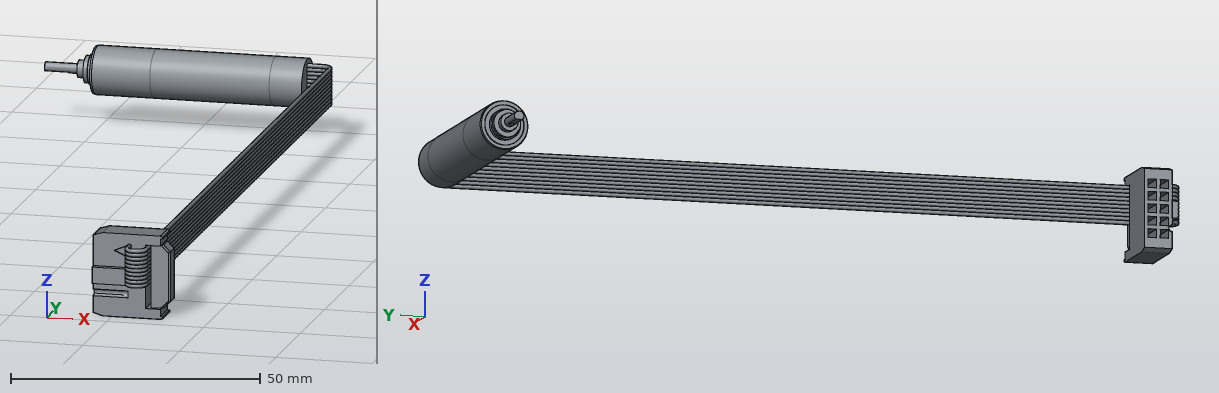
import cadquery as cq
import math


MOTOR_DIA = 10.0
GEARBOX_FRONT = 10.3
GEARBOX_REAR = 22.8
BODY_REAR = 47.5
MOTOR_REAR = 54.2
EDGE_BEVEL_LENGTH = 0.45
EDGE_BEVEL_DEPTH = 0.15
FACE_RECESS_DIA = 8.2
FACE_RECESS_DEPTH = 0.3
SHAFT_DIA = 2.0
SHAFT_FLAT_LENGTH = 5.0
SHAFT_FLAT_DEPTH = 0.3
NOSE_FRONT = 6.9
NOSE_DIA = 3.6
COLLAR_FRONT = 8.4
COLLAR_DIA = 5.6
PILOT_FRONT = 9.35
PILOT_DIA = 6.2

CONTACT_PITCH = 2.54
CONTACT_ROWS = 5
CONTACT_COLUMNS = 2
CONN_FRONT = 47.9
CONN_REAR = 61.8
CONN_HEIGHT = 17.27
CONN_DEPTH = 5.8
CONN_FACE_Y = -150.9
CONN_Y = CONN_FACE_Y + CONN_DEPTH / 2
CONN_Z = -CONTACT_PITCH
TAPER_LENGTH = 2.0
TAPER_DROP = 0.6
LIP_LENGTH = 0.5
LIP_THICKNESS = 0.6
LIP_BEVEL = 0.2
HOLE_WIDTH = 1.75
HOLE_DEPTH = 6.0

KEY_INSET = 0.1
KEY_END = 55.1
KEY_WIDTH = 3.4
KEY_HEIGHT = 1.3
MARK_TIP = 52.3
MARK_LENGTH = 2.7
MARK_WIDTH = 2.4
MARK_DEPTH = 0.2
GROOVE_DIA = 1.4
GROOVE_Z = -6.4

SLOT_HEIGHT = 13.1
SLOT_FRONT = 58.7
CAP_FRONT = 59.6
CAP_REAR = 63.55
CAP_DEPTH = 3.9
CAP_CORNER = 1.4
CAP_EDGE = 0.35

WIRE_COUNT = CONTACT_ROWS * CONTACT_COLUMNS
WIRE_PITCH = 0.8
WIRE_DIA = 0.85
WEB_THICKNESS = 0.45
CABLE_X = 59.25
BEND_RADIUS = 1.93
CABLE_END_Y = -155.0


def cylinder_x(start, end, diameter):
    return cq.Workplane("YZ", origin=(start, 0, 0)).circle(diameter / 2).extrude(end - start)


def box_between(x_range, y_range, z_range):
    spans = [high - low for low, high in (x_range, y_range, z_range)]
    low_corner = (x_range[0], y_range[0], z_range[0])
    return cq.Workplane("XY").box(*spans, centered=False).translate(low_corner)


def centred(middle, size):
    return (middle - size / 2, middle + size / 2)


def make_shaft():
    radius = SHAFT_DIA / 2
    shaft = cylinder_x(0, GEARBOX_FRONT, SHAFT_DIA)
    flat = box_between(
        (0, SHAFT_FLAT_LENGTH), (-radius, radius), (-radius, SHAFT_FLAT_DEPTH - radius)
    )
    return shaft.cut(flat)


def make_motor():
    radius = MOTOR_DIA / 2
    gearbox = (
        cq.Workplane("XY")
        .moveTo(GEARBOX_FRONT, 0)
        .lineTo(GEARBOX_FRONT, radius - EDGE_BEVEL_DEPTH)
        .lineTo(GEARBOX_FRONT + EDGE_BEVEL_LENGTH, radius)
        .lineTo(GEARBOX_REAR, radius)
        .lineTo(GEARBOX_REAR, 0)
        .close()
        .revolve(360, (0, 0, 0), (1, 0, 0))
    )
    recess_floor = GEARBOX_FRONT + FACE_RECESS_DEPTH
    motor = gearbox.cut(cylinder_x(GEARBOX_FRONT, recess_floor, FACE_RECESS_DIA))
    motor = motor.union(cylinder_x(GEARBOX_REAR, BODY_REAR, MOTOR_DIA), clean=False)
    motor = motor.union(cylinder_x(BODY_REAR, MOTOR_REAR, MOTOR_DIA), clean=False)
    for start, diameter in (
        (NOSE_FRONT, NOSE_DIA),
        (COLLAR_FRONT, COLLAR_DIA),
        (PILOT_FRONT, PILOT_DIA),
    ):
        motor = motor.union(cylinder_x(start, recess_floor, diameter), clean=False)
    return motor.union(make_shaft(), clean=False)


def make_cable():
    wire_radius = WIRE_DIA / 2
    half_web = WEB_THICKNESS / 2
    web_reach = math.sqrt(wire_radius**2 - half_web**2)
    first_wire = -(WIRE_COUNT - 1) / 2 * WIRE_PITCH
    wires = [first_wire + number * WIRE_PITCH for number in range(WIRE_COUNT)]
    section = cq.Workplane("YZ", origin=(MOTOR_REAR, 0, 0)).moveTo(half_web, wires[0] + web_reach)
    for z in wires[1:-1]:
        section = section.lineTo(half_web, z - web_reach)
        section = section.threePointArc((wire_radius, z), (half_web, z + web_reach))
    section = section.lineTo(half_web, wires[-1] - web_reach)
    section = section.threePointArc(
        (0, wires[-1] + wire_radius), (-half_web, wires[-1] - web_reach)
    )
    for z in reversed(wires[1:-1]):
        section = section.lineTo(-half_web, z + web_reach)
        section = section.threePointArc((-wire_radius, z), (-half_web, z - web_reach))
    section = section.lineTo(-half_web, wires[0] + web_reach)
    section = section.threePointArc((0, wires[0] - wire_radius), (half_web, wires[0] + web_reach))
    section = section.close()

    loop_y = CABLE_END_Y + wire_radius + BEND_RADIUS
    return_x = CABLE_X - 2 * BEND_RADIUS
    path = (
        cq.Workplane("XY")
        .moveTo(MOTOR_REAR, 0)
        .lineTo(CABLE_X - BEND_RADIUS, 0)
        .tangentArcPoint((CABLE_X, -BEND_RADIUS), relative=False)
        .lineTo(CABLE_X, loop_y)
        .tangentArcPoint((return_x, loop_y), relative=False)
        .lineTo(return_x, CONN_FACE_Y)
    )
    return section.sweep(path)


def make_housing():
    top = CONN_HEIGHT / 2
    lip_inside = top - LIP_THICKNESS
    slot_half = SLOT_HEIGHT / 2
    lip_end = CONN_REAR + LIP_LENGTH
    upper = [
        (CONN_FRONT, top - TAPER_DROP),
        (CONN_FRONT + TAPER_LENGTH, top),
        (CONN_REAR, top),
        (lip_end, top - LIP_BEVEL),
        (lip_end, lip_inside),
        (CONN_REAR, lip_inside),
        (CONN_REAR, slot_half),
        (SLOT_FRONT, slot_half),
    ]
    lower = [(x, -z) for x, z in reversed(upper)]
    back_plane = cq.Workplane("XZ", origin=(0, CONN_FACE_Y + CONN_DEPTH, CONN_Z))
    return back_plane.polyline(upper + lower).close().extrude(CONN_DEPTH)


def make_cap():
    block = cq.Workplane("XY").box(CAP_REAR - CAP_FRONT, CAP_DEPTH, SLOT_HEIGHT)
    cap = block.edges("|Y and >X").chamfer(CAP_CORNER)
    cap = cap.faces("<Y or >Y").edges("not (|X or <X)").chamfer(CAP_EDGE)
    return cap.translate(((CAP_FRONT + CAP_REAR) / 2, CONN_Y, CONN_Z))


def make_contact_holes():
    grid = cq.Workplane("YZ", origin=(CONN_FRONT, CONN_Y, CONN_Z)).rarray(
        CONTACT_PITCH, CONTACT_PITCH, CONTACT_COLUMNS, CONTACT_ROWS
    )
    return grid.rect(HOLE_WIDTH, HOLE_WIDTH).extrude(HOLE_DEPTH)


def make_key():
    return box_between(
        (CONN_FRONT + KEY_INSET, KEY_END),
        (CONN_FACE_Y - KEY_HEIGHT, CONN_FACE_Y),
        centred(CONN_Z, KEY_WIDTH),
    )


def make_pin_one_mark():
    pin_one_z = CONN_Z + (CONTACT_ROWS - 1) / 2 * CONTACT_PITCH
    base_x = MARK_TIP + MARK_LENGTH
    return (
        cq.Workplane("XZ", origin=(0, CONN_FACE_Y + MARK_DEPTH, pin_one_z))
        .polyline([(MARK_TIP, 0), (base_x, MARK_WIDTH / 2), (base_x, -MARK_WIDTH / 2)])
        .close()
        .extrude(MARK_DEPTH)
    )


def make_groove():
    return cylinder_x(CONN_FRONT, KEY_END, GROOVE_DIA).translate((0, CONN_FACE_Y, GROOVE_Z))


def make_connector():
    housing = make_housing().cut(make_contact_holes())
    housing = housing.cut(make_pin_one_mark()).cut(make_groove())
    return housing.union(make_key()).union(make_cap())


result = make_motor().union(make_cable(), clean=False).union(make_connector(), clean=False)